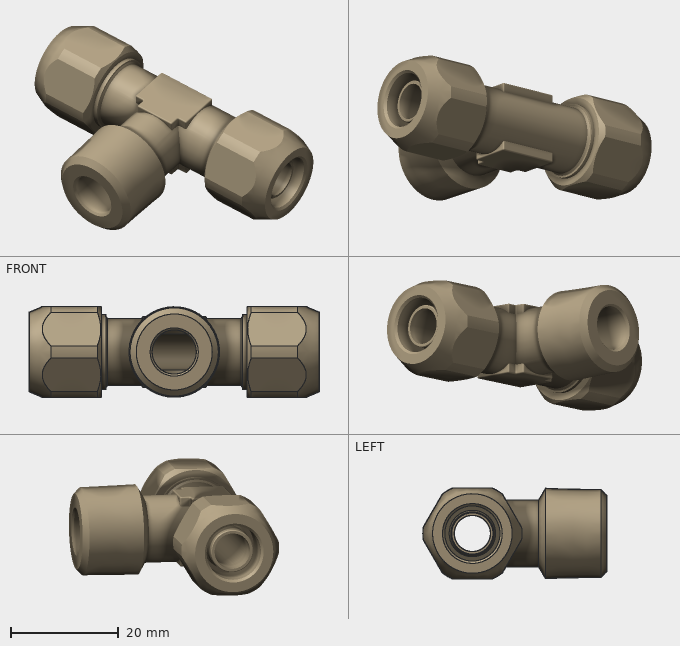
import cadquery as cq
import math


body_radius = 6.25
run_half_length = 27.0
branch_length = 25.0

nut_flats = 17.0
nut_corner_radius = 9.25
nut_length = 13.5
nut_front_radius = 7.4
nut_front_chamfer = 4.05
nut_rear_radius = 8.3
nut_rear_chamfer = 0.8

collar_radius = 7.0
collar_length = 0.75
collar_root_radius = 6.65
collar_root_length = 0.3

socket_radius = 5.15
socket_mouth_radius = 5.55
socket_mouth_chamfer = 0.45
socket_depth = 8.0
spigot_recess = 1.95
spigot_radius = 4.0
spigot_tip_chamfer = 0.15
spigot_root_radius = 4.3
spigot_root_length = 0.55
run_bore_radius = 3.35

thread_length = 11.4
thread_large_radius = 8.4
thread_small_radius = 8.2
thread_lead_in = 1.1
thread_end_radius = 7.1
thread_shoulder_length = 1.3
branch_bore_radius = 4.1
branch_mouth_radius = 4.5
drill_point_angle = 118.0

pad_half_length = 6.0
pad_half_width = 4.05
pad_height = 6.6
pad_edge_radius = 0.25


def revolve_about_x(profile):
    """Solid of revolution about X from (x, radius) points."""
    return cq.Workplane("XY").polyline(profile).close().revolve(360, (0, 0), (1, 0))


def revolve_about_branch(profile):
    """Solid of revolution about Y from (distance along -Y, radius) points."""
    points = [(radius, -distance) for distance, radius in profile]
    return cq.Workplane("XY").polyline(points).close().revolve(360, (0, 0), (0, 1))


def run_cylinder(radius, half_length):
    """Cylinder along X, centred on the origin."""
    return cq.Workplane("YZ", origin=(-half_length, 0, 0)).circle(radius).extrude(2 * half_length)


def nut():
    """Hexagonal nut at the +X end, flats facing +Z and -Z, both ends turned."""
    rear = run_half_length - nut_length
    hexagon = (
        cq.Workplane("YZ", origin=(rear, 0, 0))
        .polygon(6, nut_flats / math.cos(math.pi / 6))
        .extrude(nut_length)
    )
    turned = revolve_about_x([
        (rear, 0),
        (rear, nut_rear_radius),
        (rear + nut_rear_chamfer, nut_corner_radius),
        (run_half_length - nut_front_chamfer, nut_corner_radius),
        (run_half_length, nut_front_radius),
        (run_half_length, 0),
    ])
    return hexagon.intersect(turned)


def collar():
    """Stepped ring between the body and the +X nut."""
    outer_end = run_half_length - nut_length
    inner_end = outer_end - collar_length
    return revolve_about_x([
        (outer_end, 0),
        (outer_end, collar_radius),
        (inner_end, collar_radius),
        (inner_end, collar_root_radius),
        (inner_end - collar_root_length, body_radius),
        (inner_end - collar_root_length, 0),
    ])


def socket():
    """Ring-shaped void around the spigot, open at the +X face."""
    floor = run_half_length - socket_depth
    tip = run_half_length - spigot_recess
    return revolve_about_x([
        (floor, spigot_root_radius),
        (floor, socket_radius),
        (run_half_length - socket_mouth_chamfer, socket_radius),
        (run_half_length, socket_mouth_radius),
        (run_half_length, 0),
        (tip, 0),
        (tip, spigot_radius - spigot_tip_chamfer),
        (tip - spigot_tip_chamfer, spigot_radius),
        (floor + spigot_root_length, spigot_radius),
    ])


def branch():
    """Plain neck, conical shoulder and tapered thread body."""
    thread_start = branch_length - thread_length
    return revolve_about_branch([
        (0, 0),
        (0, body_radius),
        (thread_start - thread_shoulder_length, body_radius),
        (thread_start, thread_large_radius),
        (branch_length - thread_lead_in, thread_small_radius),
        (branch_length, thread_end_radius),
        (branch_length, 0),
    ])


def branch_bore():
    """Blind bore with a drill point that breaks into the run bore."""
    mouth_chamfer = branch_mouth_radius - branch_bore_radius
    point_length = branch_bore_radius / math.tan(math.radians(drill_point_angle / 2))
    return revolve_about_branch([
        (-point_length, 0),
        (0, branch_bore_radius),
        (branch_length - mouth_chamfer, branch_bore_radius),
        (branch_length, branch_mouth_radius),
        (branch_length, 0),
    ])


def pads():
    """T-shaped block through the body, with rounded edges."""
    along_run = cq.Workplane("XY").box(2 * pad_half_length, 2 * pad_half_width, 2 * pad_height)
    along_branch = (
        cq.Workplane("XY")
        .box(2 * pad_half_width, pad_half_length, 2 * pad_height)
        .translate((0, -pad_half_length / 2, 0))
    )
    block = along_run.union(along_branch).edges("|Z").fillet(pad_edge_radius)
    return block.faces("|Z").edges().fillet(pad_edge_radius)


def at_both_run_ends(piece):
    """The +X piece together with its copy turned to the -X end."""
    return piece.union(piece.rotate((0, 0, 0), (0, 0, 1), 180))


run_body = run_cylinder(body_radius, run_half_length - nut_length)
run_bore = run_cylinder(run_bore_radius, run_half_length)

fitting = run_body.union(branch()).union(pads())
fitting = fitting.union(at_both_run_ends(nut().union(collar())))
fitting = fitting.cut(at_both_run_ends(socket()))
result = fitting.cut(run_bore).cut(branch_bore())